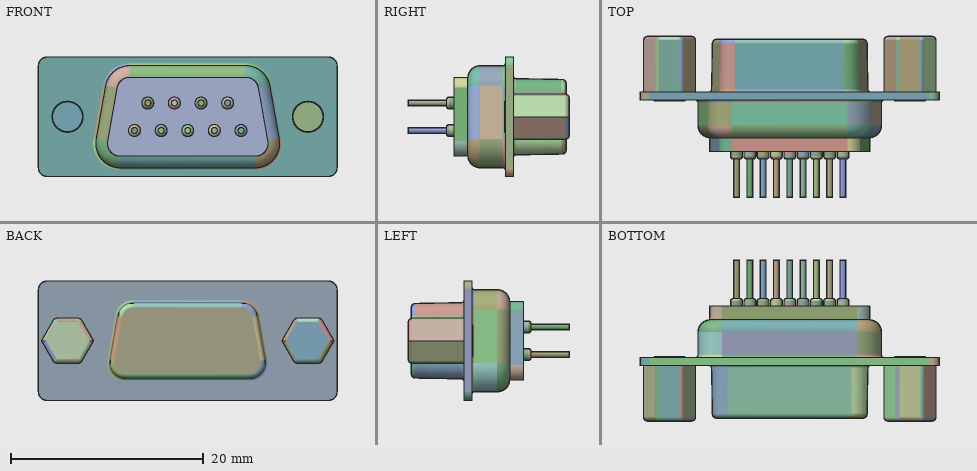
import cadquery as cq
import math


PLATE_WIDTH = 31.0
PLATE_HEIGHT = 12.4
PLATE_THICKNESS = 0.87
PLATE_CORNER_RADIUS = 0.93

SIDE_ANGLE = 10.0

SHELL_TOP_CENTER_X = 6.0
SHELL_CENTER_Z = 2.75
SHELL_CORNER_RADIUS = 2.55
SHELL_DEPTH = 3.9
SHELL_EDGE_FILLET = 1.3
SHELL_BASE_FILLET = 0.25
INSULATOR_CORNER_RADIUS = 1.33
INSULATOR_DEPTH = 5.33

PLUG_TOP_CENTER_X = 5.65
PLUG_CENTER_Z = 2.3
PLUG_CORNER_RADIUS = 1.67
PLUG_END_Y = 6.32
PLUG_TAPER = 1.0
PLUG_EDGE_FILLET = 0.45
PLUG_BASE_FILLET = 0.22

SCREW_X = 12.45
SCREW_END_Y = 6.63
SCREW_ACROSS_FLATS = 4.68
SCREW_CORNER_RADIUS = 0.45
SCREW_TIP_FILLET = 0.43
RIVET_RADIUS = 1.6
RIVET_HEIGHT = 0.1
RIVET_CHAMFER = 0.05

PIN_PITCH = 2.75
PIN_ROW_Z = 1.43
TOP_ROW_COUNT = 4
BOTTOM_ROW_COUNT = 5
PIN_RADIUS = 0.3
PIN_END_DEPTH = 10.08
COLLAR_RADIUS = 0.62
COLLAR_LENGTH = 0.78
COLLAR_FILLET = 0.28

SELECTION_MARGIN = 0.03


def plane_at(y, facing):
    """XZ sketch plane at depth y; facing is +1 towards +Y, -1 towards -Y."""
    return cq.Workplane(cq.Plane(origin=(0, y, 0), xDir=(-facing, 0, 0), normal=(0, facing, 0)))


def d_outline(y, facing, top_center_x, center_z, radius):
    """Symmetric D outline, wide at the bottom, set out from its corner arc centers."""
    angle = math.radians(SIDE_ANGLE)
    bottom_center_x = top_center_x + 2 * center_z * math.tan(angle)
    side_x = radius * math.cos(angle)
    side_z = radius * math.sin(angle)
    top_mid = math.radians(45 + SIDE_ANGLE / 2)
    bottom_mid = math.radians(45 - SIDE_ANGLE / 2)
    top_z = center_z + radius

    def on_corner(center_x, corner_z, direction):
        return (center_x + radius * math.cos(direction), corner_z + radius * math.sin(direction))

    top_x, top_arc_z = on_corner(top_center_x, center_z, top_mid)
    bottom_x, bottom_arc_z = on_corner(bottom_center_x, -center_z, -bottom_mid)
    return (
        plane_at(y, facing)
        .moveTo(-top_center_x, top_z)
        .lineTo(top_center_x, top_z)
        .threePointArc((top_x, top_arc_z), (top_center_x + side_x, center_z + side_z))
        .lineTo(bottom_center_x + side_x, -center_z + side_z)
        .threePointArc((bottom_x, bottom_arc_z), (bottom_center_x, -top_z))
        .lineTo(-bottom_center_x, -top_z)
        .threePointArc((-bottom_x, bottom_arc_z), (-bottom_center_x - side_x, -center_z + side_z))
        .lineTo(-top_center_x - side_x, center_z + side_z)
        .threePointArc((-top_x, top_arc_z), (-top_center_x, top_z))
        .close()
    )


def make_plate():
    return (
        plane_at(0, 1)
        .rect(PLATE_WIDTH, PLATE_HEIGHT)
        .extrude(PLATE_THICKNESS)
        .edges("|Y")
        .fillet(PLATE_CORNER_RADIUS)
    )


def make_shell():
    outline = d_outline(0, -1, SHELL_TOP_CENTER_X, SHELL_CENTER_Z, SHELL_CORNER_RADIUS)
    return outline.extrude(SHELL_DEPTH).faces("<Y").edges().fillet(SHELL_EDGE_FILLET)


def make_insulator():
    outline = d_outline(0, -1, SHELL_TOP_CENTER_X, SHELL_CENTER_Z, INSULATOR_CORNER_RADIUS)
    return outline.extrude(INSULATOR_DEPTH)


def make_plug():
    outline = d_outline(PLATE_THICKNESS, 1, PLUG_TOP_CENTER_X, PLUG_CENTER_Z, PLUG_CORNER_RADIUS)
    plug = outline.extrude(PLUG_END_Y - PLATE_THICKNESS, taper=PLUG_TAPER)
    return plug.faces(">Y").edges().fillet(PLUG_EDGE_FILLET)


def flare_base(body, face_y, fillet_radius):
    """Round the D-shaped joint between the plate face at face_y and the body on it."""
    reach_x = PLATE_WIDTH / 2 - SELECTION_MARGIN
    reach_z = PLATE_HEIGHT / 2 - SELECTION_MARGIN
    joint = cq.selectors.BoxSelector(
        (-reach_x, face_y - SELECTION_MARGIN, -reach_z),
        (reach_x, face_y + SELECTION_MARGIN, reach_z),
        boundingbox=True,
    )
    return body.edges(joint).fillet(fillet_radius)


def make_jackscrew(x):
    """Hexagonal post with two corners on the X axis left sharp, and its rivet head."""
    across_corners = SCREW_ACROSS_FLATS / math.cos(math.radians(30))
    post = (
        plane_at(PLATE_THICKNESS, 1)
        .polygon(6, across_corners)
        .extrude(SCREW_END_Y - PLATE_THICKNESS)
        .edges("|Y and (>Z or <Z)")
        .fillet(SCREW_CORNER_RADIUS)
        .faces(">Y")
        .edges()
        .fillet(SCREW_TIP_FILLET)
    )
    rivet = (
        plane_at(0, -1)
        .circle(RIVET_RADIUS)
        .extrude(RIVET_HEIGHT)
        .faces("<Y")
        .edges()
        .chamfer(RIVET_CHAMFER)
    )
    return [part.translate((x, 0, 0)) for part in (post, rivet)]


def make_pin(x, z):
    collar = (
        plane_at(-INSULATOR_DEPTH, -1)
        .circle(COLLAR_RADIUS)
        .extrude(COLLAR_LENGTH)
        .faces("<Y")
        .edges()
        .fillet(COLLAR_FILLET)
    )
    wire = plane_at(-INSULATOR_DEPTH, -1).circle(PIN_RADIUS).extrude(PIN_END_DEPTH - INSULATOR_DEPTH)
    return collar.union(wire).translate((x, 0, z))


result = make_plate().union(make_shell()).union(make_plug())
result = flare_base(result, 0, SHELL_BASE_FILLET)
result = flare_base(result, PLATE_THICKNESS, PLUG_BASE_FILLET)
result = result.union(make_insulator())

for screw_x in (-SCREW_X, SCREW_X):
    for screw_part in make_jackscrew(screw_x):
        result = result.union(screw_part)

for count, row_z in ((TOP_ROW_COUNT, PIN_ROW_Z), (BOTTOM_ROW_COUNT, -PIN_ROW_Z)):
    for index in range(count):
        pin_x = (index - (count - 1) / 2) * PIN_PITCH
        result = result.union(make_pin(pin_x, row_z))